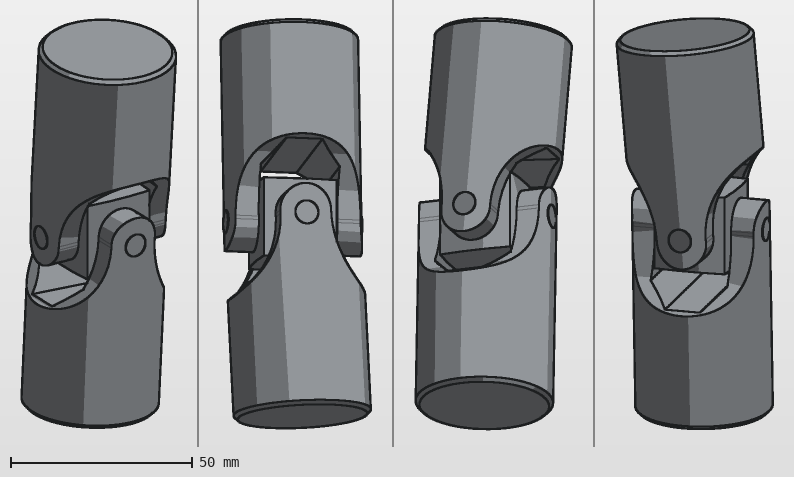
import cadquery as cq
import math


yoke_radius = 19.0
yoke_length = 53.8
end_chamfer = 1.1
lower_tilt = 2.9
upper_tilt = 5.0

tip_radius = 7.1
tip_straight = 1.0
flare_radius = 24.3
slot_half_width = 11.1
slot_depth = 19.9
slot_corner = 6.0

block_height = 22.0
block_crown_reach = 10.8
block_corner_reach = 10.2

pin_diameter = 6.5
pin_inner_end = 3.8

tip_height = tip_straight + tip_radius


def arm_profile():
    """Side outline of a yoke: round arm tip that flares tangentially out to the full diameter."""
    flare_center = tip_radius + flare_radius

    def flare_drop(reach):
        return math.sqrt(flare_radius**2 - (flare_center - reach) ** 2)

    edge_drop = flare_drop(yoke_radius)
    middle_reach = (tip_radius + yoke_radius) / 2
    middle_drop = flare_drop(middle_reach)
    return (
        cq.Workplane("YZ")
        .moveTo(-tip_radius, tip_straight)
        .threePointArc((0, tip_height), (tip_radius, tip_straight))
        .lineTo(tip_radius, 0)
        .threePointArc((middle_reach, -middle_drop), (yoke_radius, -edge_drop))
        .lineTo(yoke_radius, -yoke_length)
        .lineTo(-yoke_radius, -yoke_length)
        .lineTo(-yoke_radius, -edge_drop)
        .threePointArc((-middle_reach, -middle_drop), (-tip_radius, 0))
        .close()
        .extrude(yoke_radius, both=True)
    )


def arm_slot():
    """Slot between the arms, open at the tips and with cut corners at its floor."""
    floor_half_width = slot_half_width - slot_corner
    corner_z = slot_corner - slot_depth
    return (
        cq.Workplane("XZ")
        .polyline(
            [
                (-slot_half_width, tip_height),
                (-slot_half_width, corner_z),
                (-floor_half_width, -slot_depth),
                (floor_half_width, -slot_depth),
                (slot_half_width, corner_z),
                (slot_half_width, tip_height),
            ]
        )
        .close()
        .extrude(yoke_radius, both=True)
    )


def make_yoke():
    """Yoke hanging below the origin, hinged about X."""
    barrel = (
        cq.Workplane("XY")
        .workplane(offset=-yoke_length)
        .circle(yoke_radius)
        .extrude(yoke_length + tip_height)
        .faces("<Z")
        .chamfer(end_chamfer)
    )
    pin_hole = cq.Workplane("YZ").circle(pin_diameter / 2).extrude(yoke_radius, both=True)
    return barrel.intersect(arm_profile()).cut(arm_slot()).cut(pin_hole)


def make_pin(angle):
    """Pin pointing out from the center at the given angle in the XY plane, flush with the yoke."""
    pin = (
        cq.Workplane("YZ")
        .workplane(offset=pin_inner_end)
        .circle(pin_diameter / 2)
        .extrude(yoke_radius - pin_inner_end)
    )
    return pin.rotate((0, 0, 0), (0, 0, 1), angle)


def make_block(pins):
    """Block whose four crowned sides face the yoke arms, with a blind hole for each pin."""
    corner = block_corner_reach
    crown = block_crown_reach
    block = (
        cq.Workplane("XY")
        .moveTo(-corner, -corner)
        .threePointArc((0, -crown), (corner, -corner))
        .threePointArc((crown, 0), (corner, corner))
        .threePointArc((0, crown), (-corner, corner))
        .threePointArc((-crown, 0), (-corner, -corner))
        .close()
        .extrude(block_height / 2, both=True)
    )
    for pin in pins:
        block = block.cut(pin)
    return block


yoke = make_yoke()
lower_yoke = yoke.rotate((0, 0, 0), (1, 0, 0), -lower_tilt)
upper_yoke = (
    yoke.rotate((0, 0, 0), (1, 0, 0), 180)
    .rotate((0, 0, 0), (0, 0, 1), 90)
    .rotate((0, 0, 0), (0, 1, 0), upper_tilt)
)
pins = [make_pin(angle) for angle in (0, 90, 180, 270)]
block = make_block(pins)

result = cq.Compound.makeCompound(
    [lower_yoke.val(), upper_yoke.val(), block.val(), *[pin.val() for pin in pins]]
)